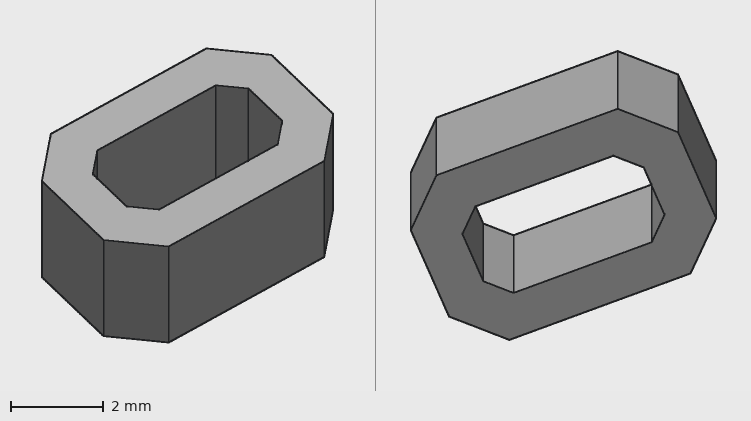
import cadquery as cq

width = 4.2
length = 6.2
height = 3.0
wall = 1.0
outer_chamfer = wall
inner_chamfer = outer_chamfer / 2


def chamfered_prism(size_x, size_y, chamfer):
    """Upright rectangular prism with its four vertical edges chamfered."""
    block = cq.Workplane("XY").box(size_x, size_y, height)
    return block.edges("|Z").chamfer(chamfer)


body = chamfered_prism(width, length, outer_chamfer)
opening = chamfered_prism(width - 2 * wall, length - 2 * wall, inner_chamfer)

result = body.cut(opening)